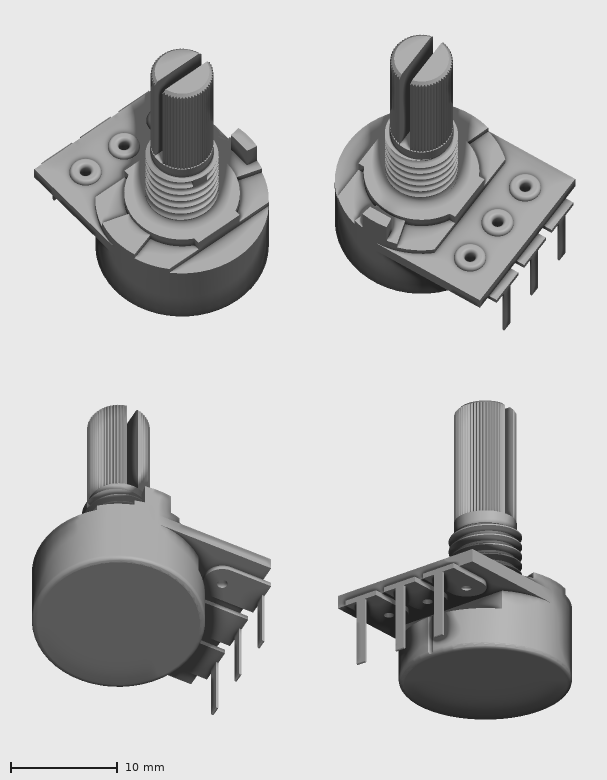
import cadquery as cq
import math


case_radius = 16.25 / 2
case_edge_radius = 0.5
case_top = 7.2
relief_x = -5.2
relief_bottom = 4.05

board_left = -11.9
board_bottom = 5.92

cover_half_width = 5.42
cover_top = 7.8
sector_top = 8.4
sector_half_angle = 17.0
hub_top = 8.88
hub_radius = cover_half_width
hub_bar_width = 5.0

tab_top = 10.72
tab_inner_y = 6.95
tab_half_angle = 9.7

thread_radius = 6.9 / 2
thread_root_radius = 5.75 / 2
thread_top = 15.38
thread_pitch = 1.0
crest_width = 0.12
root_width = 0.23
groove_start_z = 7.85
groove_turns = 9
groove_overshoot = 0.03
thread_stop_bottom = 14.33
thread_stop_start_angle = -22.0
thread_stop_end_angle = 3.0

shaft_radius = 5.9 / 2
collar_top = 16.65
shaft_top = 28.22
shaft_chamfer = 0.38
tooth_count = 60
tooth_root_radius = 2.78
slot_width = 1.17

terminal_pitch = 4.7
rivet_x = -8.53
rivet_radius = 3.02 / 2
rivet_height = 0.4
rivet_rim_outer_radius = 1.1
rivet_rim_inner_radius = 0.9
rivet_hole_radius = 1.0 / 2
terminal_width = 3.7
terminal_thickness = 0.5
overall_length = 20.85
terminal_left = case_radius - overall_length
leg_width = 1.0
leg_thickness = 0.25
leg_bottom = -1.08
leg_tip_chamfer = 0.073


def polar(radius, degrees):
    angle = math.radians(degrees)
    return (radius * math.cos(angle), radius * math.sin(angle))


def cylinder(radius, bottom, top):
    return cq.Workplane("XY").workplane(offset=bottom).circle(radius).extrude(top - bottom)


def box(x_range, y_range, z_range):
    sizes = [high - low for low, high in (x_range, y_range, z_range)]
    corner = (x_range[0], y_range[0], z_range[0])
    return cq.Workplane("XY").box(*sizes, centered=False).translate(corner)


def sector(radius, middle, half_angle, bottom, top):
    """Pie slice around the shaft axis."""
    return (
        cq.Workplane("XY")
        .workplane(offset=bottom)
        .lineTo(*polar(radius, middle - half_angle))
        .threePointArc(polar(radius, middle), polar(radius, middle + half_angle))
        .close()
        .extrude(top - bottom)
    )


def make_case():
    case = cylinder(case_radius, 0, case_top).faces("<Z").edges().fillet(case_edge_radius)
    relief = box((-2 * case_radius, relief_x), (-case_radius, case_radius), (relief_bottom, case_top))
    return case.cut(relief)


def make_board():
    return box((board_left, 0), (-case_radius, case_radius), (board_bottom, case_top))


def make_cover():
    flats = box(
        (-cover_half_width, cover_half_width), (-case_radius, case_radius), (board_bottom, hub_top)
    )
    cover = cylinder(case_radius, board_bottom, cover_top).intersect(flats)
    raised_disc = cylinder(case_radius, board_bottom, sector_top)
    for middle in (90, -90):
        wedge = sector(2 * case_radius, middle, sector_half_angle, board_bottom, sector_top)
        cover = cover.union(raised_disc.intersect(wedge))
    hub_bar = box(
        (-cover_half_width, cover_half_width),
        (-hub_bar_width / 2, hub_bar_width / 2),
        (board_bottom, hub_top),
    )
    return cover.union(cylinder(hub_radius, board_bottom, hub_top)).union(hub_bar)


def make_tab():
    tab = sector(case_radius, 90, tab_half_angle, cover_top, tab_top)
    outer_strip = box((-case_radius, case_radius), (tab_inner_y, case_radius), (cover_top, tab_top))
    return tab.intersect(outer_strip)


def make_bushing():
    root_half = root_width / 2
    mouth_half = (thread_pitch - crest_width) / 2
    flank_slope = (mouth_half - root_half) / (thread_radius - thread_root_radius)
    outer_radius = thread_radius + groove_overshoot
    outer_half = mouth_half + groove_overshoot * flank_slope
    helix = cq.Wire.makeHelix(thread_pitch, groove_turns * thread_pitch, thread_root_radius)
    groove = (
        cq.Workplane("XZ")
        .polyline([
            (thread_root_radius, -root_half),
            (outer_radius, -outer_half),
            (outer_radius, outer_half),
            (thread_root_radius, root_half),
        ])
        .close()
        .sweep(cq.Workplane(helix), isFrenet=True)
        .translate((0, 0, groove_start_z))
    )
    bar_bottom = groove_start_z - thread_pitch
    bar_top = groove_start_z + (groove_turns + 1) * thread_pitch
    trim = box(
        (-case_radius, case_radius), (-case_radius, case_radius), (hub_top, thread_top)
    )
    bushing = cylinder(thread_radius, bar_bottom, bar_top).cut(groove).intersect(trim)
    stop_middle = (thread_stop_start_angle + thread_stop_end_angle) / 2
    stop_half_angle = (thread_stop_end_angle - thread_stop_start_angle) / 2
    stop = sector(thread_radius, stop_middle, stop_half_angle, thread_stop_bottom, thread_top)
    return bushing.union(stop)


def make_shaft():
    half_tooth = 180 / tooth_count
    outline = []
    for tooth in range(tooth_count):
        angle = 2 * tooth * half_tooth
        outline.append(polar(shaft_radius, angle))
        outline.append(polar(tooth_root_radius, angle + half_tooth))
    knurl = (
        cq.Workplane("XY")
        .workplane(offset=collar_top)
        .polyline(outline)
        .close()
        .extrude(shaft_top - collar_top)
    )
    blank = cylinder(shaft_radius, collar_top, shaft_top).faces(">Z").edges().chamfer(shaft_chamfer)
    slot = box(
        (-slot_width / 2, slot_width / 2), (-case_radius, case_radius), (collar_top, shaft_top)
    )
    collar = cylinder(shaft_radius, thread_top, collar_top)
    return collar.union(knurl.intersect(blank).cut(slot))


def make_rivet(y):
    bulge = math.sqrt(0.5)
    outer_drop = rivet_radius - rivet_rim_outer_radius
    funnel = rivet_rim_inner_radius - rivet_hole_radius
    outer_mid = (rivet_rim_outer_radius + bulge * outer_drop, bulge * rivet_height)
    funnel_mid = (
        rivet_rim_inner_radius - bulge * funnel,
        rivet_height - (1 - bulge) * funnel,
    )
    return (
        cq.Workplane("XZ")
        .moveTo(0, 0)
        .lineTo(rivet_radius, 0)
        .threePointArc(outer_mid, (rivet_rim_outer_radius, rivet_height))
        .lineTo(rivet_rim_inner_radius, rivet_height)
        .threePointArc(funnel_mid, (rivet_hole_radius, rivet_height - funnel))
        .lineTo(0, rivet_height - funnel)
        .close()
        .revolve(360, (0, 0, 0), (0, 1, 0))
        .translate((rivet_x, y, case_top))
    )


def make_terminal(y):
    plate_bottom = board_bottom - terminal_thickness
    half_width = terminal_width / 2
    plate = (
        cq.Workplane("XY")
        .workplane(offset=plate_bottom)
        .moveTo(terminal_left, y - half_width)
        .lineTo(rivet_x, y - half_width)
        .threePointArc((rivet_x + half_width, y), (rivet_x, y + half_width))
        .lineTo(terminal_left, y + half_width)
        .close()
        .extrude(terminal_thickness)
    )
    leg = box(
        (terminal_left, terminal_left + leg_thickness),
        (y - leg_width / 2, y + leg_width / 2),
        (leg_bottom, board_bottom),
    )
    leg = leg.faces("<Z").edges("|Y").chamfer(leg_tip_chamfer)
    return plate.union(leg)


result = make_case().union(make_board()).union(make_cover()).union(make_tab())
result = result.union(make_bushing()).union(make_shaft())

for terminal_y in (-terminal_pitch, 0, terminal_pitch):
    result = result.union(make_rivet(terminal_y)).union(make_terminal(terminal_y))
    hole = cylinder(rivet_hole_radius, 0, hub_top).translate((rivet_x, terminal_y, 0))
    result = result.cut(hole)